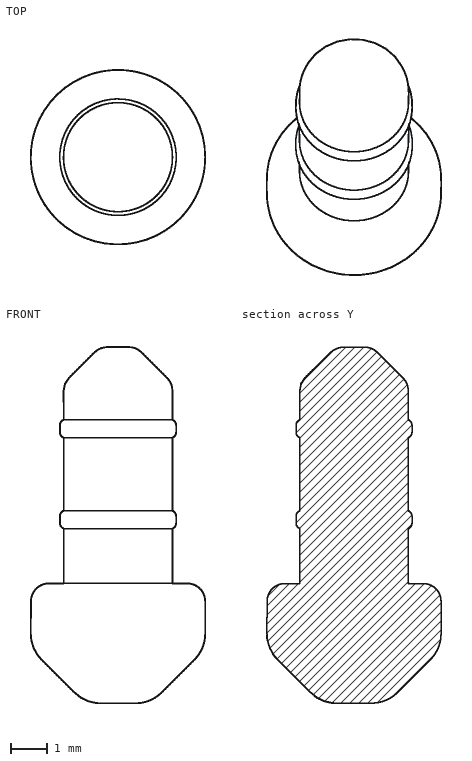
import cadquery as cq

total_height = 9.8
shank_diameter = 3.0
ring_diameter = 3.2
head_diameter = 4.8

head_height = 3.3
shoulder_fillet = 0.5
head_base_fillet = 1.0
base_corner_radius = 0.9
head_taper_height = head_diameter / 2 - base_corner_radius

tip_corner_radius = 0.5
tip_fillet = 0.5
tip_taper_height = shank_diameter / 2 - tip_corner_radius

ring_height = 0.52
ring_fillet = 0.17
ring_bottoms = (4.79, 7.29)


def tapered_body(diameter, bottom, top, bottom_taper=0, top_taper=0):
    """Cylinder with optional 45 degree tapers at its ends."""
    body = cq.Workplane("XY").workplane(offset=bottom).circle(diameter / 2).extrude(top - bottom)
    if bottom_taper:
        body = body.faces("<Z").chamfer(bottom_taper)
    if top_taper:
        body = body.faces(">Z").chamfer(top_taper)
    return body


def make_head():
    head = tapered_body(head_diameter, 0, head_height, bottom_taper=head_taper_height)
    head = head.faces(">Z").edges().fillet(shoulder_fillet)
    return head.faces("%CONE").edges("%CIRCLE").fillet(head_base_fillet)


def make_shank():
    shank = tapered_body(shank_diameter, head_height, total_height, top_taper=tip_taper_height)
    return shank.faces("%CONE").edges("%CIRCLE").fillet(tip_fillet)


def make_ring(bottom):
    ring = tapered_body(ring_diameter, bottom, bottom + ring_height)
    return ring.edges("%CIRCLE").fillet(ring_fillet)


result = make_head().union(make_shank())
for ring_bottom in ring_bottoms:
    result = result.union(make_ring(ring_bottom))